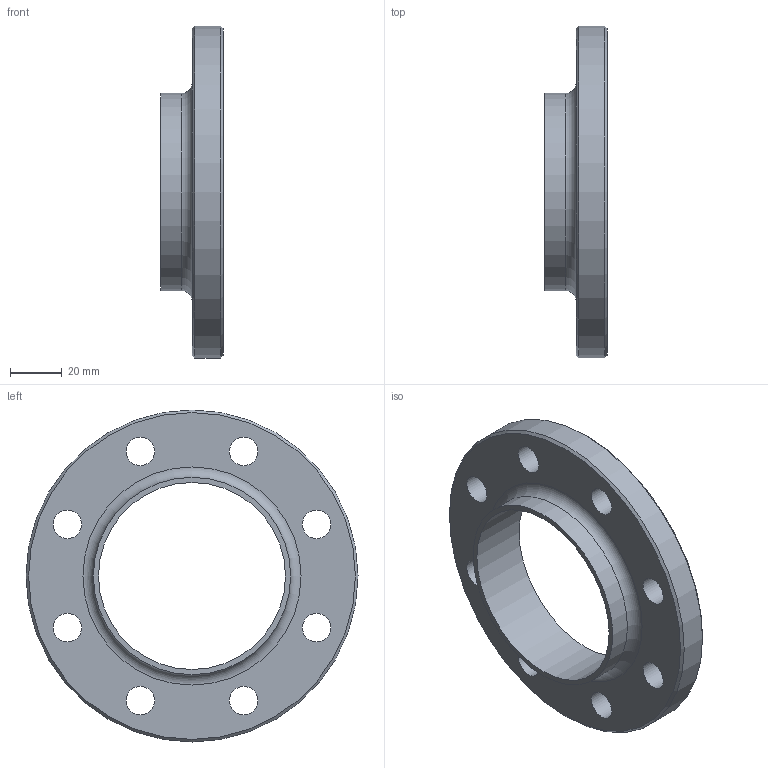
import cadquery as cq
import math

total_length = 24.0
flange_thickness = 12.0
flange_diameter = 128.0
neck_diameter = 76.1
bore_diameter = 72.1
neck_fillet = 4.0
rim_chamfer = 1.0
recess_diameter = 88.2
recess_depth = 1.0

bolt_count = 8
bolt_hole_diameter = 11.0
bolt_circle_diameter = 104.0

neck_length = total_length - flange_thickness
first_bolt_angle = 360.0 / bolt_count / 2


def disc(diameter, start_x, length):
    """Solid cylinder along X, starting at start_x."""
    return cq.Workplane("YZ", origin=(start_x, 0, 0)).circle(diameter / 2).extrude(length)


def flange_plate():
    """Round plate with both rim edges chamfered."""
    plate = disc(flange_diameter, neck_length, flange_thickness)
    return plate.faces("<X or >X").edges().chamfer(rim_chamfer)


def neck_with_fillet():
    """Welding neck flaring through a concave fillet into the plate, with a core reaching the rear face."""
    neck_radius = neck_diameter / 2
    fillet_start_x = neck_length - neck_fillet
    fillet_foot_radius = neck_radius + neck_fillet
    arc_inset = neck_fillet * math.sin(math.radians(45))
    arc_middle = (fillet_start_x + arc_inset, fillet_foot_radius - arc_inset)
    profile = (
        cq.Workplane("XY")
        .moveTo(0, 0)
        .lineTo(0, neck_radius)
        .lineTo(fillet_start_x, neck_radius)
        .threePointArc(arc_middle, (neck_length, fillet_foot_radius))
        .lineTo(total_length, fillet_foot_radius)
        .lineTo(total_length, 0)
        .close()
    )
    return profile.revolve(360, (0, 0, 0), (1, 0, 0))


def bolt_holes():
    """Through holes evenly spaced on the bolt circle."""
    return (
        cq.Workplane("YZ", origin=(neck_length, 0, 0))
        .polarArray(bolt_circle_diameter / 2, first_bolt_angle, 360, bolt_count)
        .circle(bolt_hole_diameter / 2)
        .extrude(flange_thickness)
    )


body = flange_plate().union(neck_with_fillet())
bore = disc(bore_diameter, 0, total_length)
rear_recess = disc(recess_diameter, total_length - recess_depth, recess_depth)

result = body.cut(bore).cut(rear_recess).cut(bolt_holes())